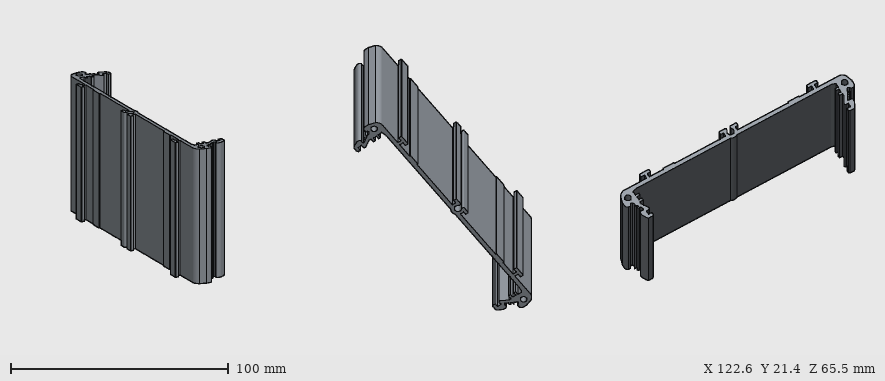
import cadquery as cq

total_width = 122.6
length = 65.5
half_width = total_width / 2
wall_top = 18.0
foot_bottom = -3.4
plate_thickness = 2.1
margin = 0.2

corner_hole_diameter = 3.0
corner_hole_inset = 3.4
corner_hole_y = 4.3
center_hole_diameter = 3.3
center_hole_y = -0.9
center_slot_width = 2.0
slot_mouth_radius = 0.4
center_bump_radius = 3.4

foot_shoulder_y = -1.8
foot_edge_chamfer = 0.2
t_foot_x = 44.6
t_foot_stem_width = 1.5
t_foot_flange_width = 5.1
center_foot_stem_width = 6.3
center_foot_flange_width = 9.3

pad_x = 33.3
pad_width = 5.8
pad_height = 0.5

corner_arc_inset = 3.5
wall_inner_inset = 7.1
groove_floor_inset = 7.4
fin_tip_inset = 9.0
hook_tip_inset = 9.2
wall_foot_inset = 9.2
wall_foot_y = 2.7
lower_fin_y = (4.8, 5.9)
upper_fin_y = (7.6, 8.8)
hook_groove_y = (14.3, 16.3)
tip_chamfer = 0.5


def block(width, y_low, y_high, x=0.0):
    """Full-length bar of the given width centred on x."""
    return (
        cq.Workplane("XY")
        .center(x, (y_low + y_high) / 2)
        .rect(width, y_high - y_low)
        .extrude(length)
    )


def round_bar(radius, x, y):
    """Full-length round bar."""
    return cq.Workplane("XY").center(x, y).circle(radius).extrude(length)


def t_foot(x, stem_width, flange_width):
    """Foot with a narrow stem and a wide flange, its lower edges chamfered."""
    stem = block(stem_width, foot_shoulder_y - margin, margin, x)
    flange = block(flange_width, foot_bottom, foot_shoulder_y, x)
    flange = flange.faces("<Y").edges("|Z").chamfer(foot_edge_chamfer)
    return stem.union(flange)


def left_wall():
    """Left side wall: rounded corner, toothed screw slot, hook and inner fins."""

    def at(inset, y):
        return (inset - half_width, y)

    outline = (
        cq.Workplane("XY")
        .moveTo(*at(wall_foot_inset, 0))
        .lineTo(*at(corner_arc_inset, 0))
        .threePointArc(at(2.0, 0.7), at(1.0, 1.8))
        .lineTo(*at(0.2, 4.4))
        .lineTo(*at(0, 5.0))
        .lineTo(*at(0, 6.9))
        .threePointArc(at(0.5, 8.0), at(1.2, 8.5))
        .lineTo(*at(2.5, 8.5))
        .lineTo(*at(2.8, 7.6))
        .threePointArc(at(3.4, 7.4), at(4.0, 7.6))
        .lineTo(*at(4.5, 8.8))
        .lineTo(*at(3.8, 9.6))
        .lineTo(*at(4.9, 9.6))
        .lineTo(*at(5.4, 10.3))
        .lineTo(*at(4.5, 10.8))
        .lineTo(*at(5.1, 11.4))
        .lineTo(*at(5.9, 11.0))
        .lineTo(*at(6.7, 12.8))
        .lineTo(*at(6.0, 13.1))
        .lineTo(*at(5.3, 12.9))
        .threePointArc(at(4.7, 13.4), at(4.4, 14.0))
        .threePointArc(at(4.4, 14.6), at(4.5, 15.2))
        .lineTo(*at(5.6, 17.3))
        .lineTo(*at(6.3, wall_top))
        .lineTo(*at(hook_tip_inset - tip_chamfer, wall_top))
        .lineTo(*at(hook_tip_inset, wall_top - tip_chamfer))
        .lineTo(*at(hook_tip_inset, hook_groove_y[1]))
        .lineTo(*at(groove_floor_inset, hook_groove_y[1]))
        .lineTo(*at(groove_floor_inset, hook_groove_y[0]))
        .lineTo(*at(hook_tip_inset - tip_chamfer, hook_groove_y[0]))
        .threePointArc(at(9.2, 13.7), at(9.0, 13.0))
        .lineTo(*at(wall_inner_inset, 9.9))
        .lineTo(*at(wall_inner_inset, upper_fin_y[1]))
        .lineTo(*at(fin_tip_inset, upper_fin_y[1]))
        .lineTo(*at(fin_tip_inset, upper_fin_y[0]))
        .lineTo(*at(groove_floor_inset, upper_fin_y[0]))
        .lineTo(*at(groove_floor_inset, lower_fin_y[1]))
        .lineTo(*at(fin_tip_inset, lower_fin_y[1]))
        .lineTo(*at(fin_tip_inset, lower_fin_y[0]))
        .lineTo(*at(wall_inner_inset, lower_fin_y[0]))
        .lineTo(*at(wall_inner_inset, wall_foot_y))
        .lineTo(*at(wall_foot_inset, plate_thickness))
        .close()
    )
    return outline.extrude(length)


plate_width = total_width - 2 * wall_inner_inset
body = block(plate_width, 0, plate_thickness)
bump = round_bar(center_bump_radius, 0, center_hole_y)
body = body.union(bump.intersect(block(plate_width, 0, wall_top)))

wall = left_wall()
body = body.union(wall).union(wall.mirror("YZ"))

body = body.union(t_foot(0, center_foot_stem_width, center_foot_flange_width))
corner_hole_x = half_width - corner_hole_inset
for side in (-1, 1):
    body = body.union(t_foot(side * t_foot_x, t_foot_stem_width, t_foot_flange_width))
    body = body.union(block(pad_width, -pad_height, margin, side * pad_x))
    body = body.cut(round_bar(corner_hole_diameter / 2, side * corner_hole_x, corner_hole_y))

body = body.cut(round_bar(center_hole_diameter / 2, 0, center_hole_y))
body = body.cut(block(center_slot_width, foot_bottom, center_hole_y))
mouth_reach = center_slot_width / 2 + margin
mouth_edges = cq.selectors.BoxSelector(
    (-mouth_reach, foot_bottom - margin, 0),
    (mouth_reach, foot_bottom + margin, length),
)
body = body.edges("|Z").edges(mouth_edges).fillet(slot_mouth_radius)

result = body.solids()